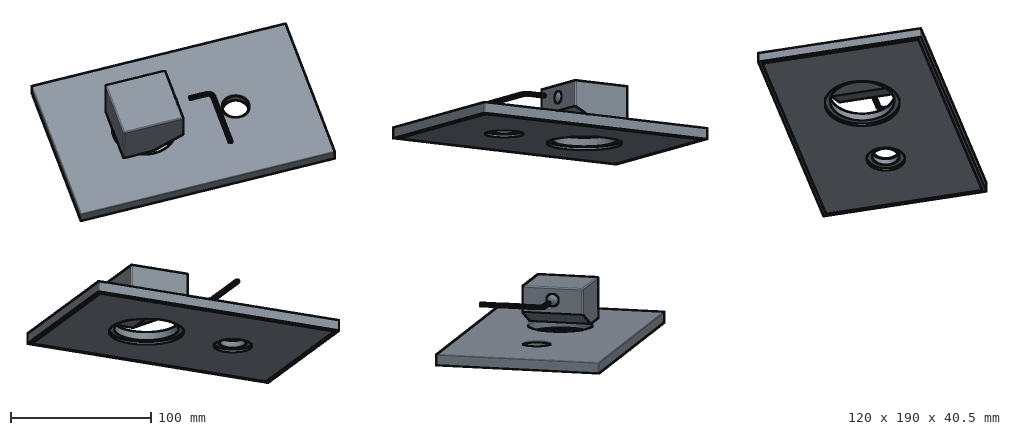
import cadquery as cq
import math

plate_width = 120.0
plate_length = 190.0
total_height = 40.5

seal_thickness = 2.0
seal_protrusion = 0.5
seal_clearance = 3.8
seal_inset = 2.5
plate_thickness = 8.0
plate_edge_radius = 0.5
plate_bottom = seal_protrusion
plate_top = plate_bottom + plate_thickness

knob_y = -29.0
knob_opening_radius = 23.0
small_opening_y = 39.1
small_opening_radius = 9.9
opening_rim_radius = 0.5
openings = ((knob_y, knob_opening_radius), (small_opening_y, small_opening_radius))
sleeve_wall = 0.4
sleeve_drop = 1.1

knob_side = 45.0
knob_height = 30.0
knob_slope_height = 11.0
knob_edge_radius = 1.0
knob_bottom = total_height - knob_height
knob_back_y = knob_y + knob_side / 2

plug_radius = 4.5
plug_height = 1.9
plug_depth = 9.3
plug_z = total_height - plug_depth

key_across_flats = 2.5
key_short_end_y = 4.8
key_long_arm_y = 21.3
key_long_end_x = 46.0
key_bend_radius = 3.8


def cut_openings(body, clearance):
    """Cut the two round openings, widened by a clearance, through a flat body on the XY plane."""
    for opening_y, radius in openings:
        cutter = cq.Workplane("XY").center(0, opening_y).circle(radius + clearance).extrude(total_height)
        body = body.cut(cutter)
    return body


def make_seal_sheet():
    """Rectangular outline of the seal without openings, also the shape of its recess."""
    return (
        cq.Workplane("XY")
        .rect(plate_width - 2 * seal_inset, plate_length - 2 * seal_inset)
        .extrude(seal_thickness)
    )


def make_plate():
    """Slab with rounded edges, recessed below for the seal and pierced by the openings."""
    slab = (
        cq.Workplane("XY")
        .workplane(offset=plate_bottom)
        .rect(plate_width, plate_length)
        .extrude(plate_thickness)
        .edges("|Z or >Z")
        .fillet(plate_edge_radius)
    )
    plate = cut_openings(slab.cut(make_seal_sheet()), 0)
    return plate.faces(">Z").edges("%CIRCLE").fillet(opening_rim_radius)


def make_sleeve():
    """Thin lining of the small opening, from the seal recess to just below the plate top."""
    return (
        cq.Workplane("XY")
        .workplane(offset=seal_thickness)
        .center(0, small_opening_y)
        .circle(small_opening_radius)
        .circle(small_opening_radius - sleeve_wall)
        .extrude(plate_top - sleeve_drop - seal_thickness)
    )


def make_seal():
    return cut_openings(make_seal_sheet(), seal_clearance)


def make_knob():
    block = (
        cq.Workplane("XY")
        .workplane(offset=knob_bottom)
        .center(0, knob_y)
        .rect(knob_side, knob_side)
        .extrude(knob_height)
        .edges("|Z or >Z")
        .fillet(knob_edge_radius)
    )
    slope = (
        cq.Workplane("YZ")
        .moveTo(knob_y, knob_bottom)
        .lineTo(knob_back_y, knob_bottom)
        .lineTo(knob_back_y, knob_bottom + knob_slope_height)
        .close()
        .extrude(knob_side / 2, both=True)
    )
    return block.cut(slope)


def make_plug():
    """Spherical cap, revolved about its axis along Y."""
    sphere_radius = (plug_radius**2 + plug_height**2) / (2 * plug_height)
    apex_y = knob_back_y + plug_height
    half_angle = math.asin(plug_radius / sphere_radius) / 2
    arc_middle = (
        sphere_radius * math.sin(half_angle),
        apex_y - sphere_radius * (1 - math.cos(half_angle)),
    )
    return (
        cq.Workplane("XY", origin=(0, 0, plug_z))
        .moveTo(0, knob_back_y)
        .lineTo(plug_radius, knob_back_y)
        .threePointArc(arc_middle, (0, apex_y))
        .close()
        .revolve(360, (0, 0), (0, 1))
    )


def make_hex_key():
    """Hexagon with flats facing up and down, swept along an L with a rounded corner."""
    bend_centre = (key_bend_radius, key_long_arm_y - key_bend_radius)
    bend_middle = (
        bend_centre[0] - key_bend_radius * math.sqrt(0.5),
        bend_centre[1] + key_bend_radius * math.sqrt(0.5),
    )
    path = (
        cq.Workplane("XY", origin=(0, 0, plug_z))
        .moveTo(0, key_short_end_y)
        .lineTo(0, bend_centre[1])
        .threePointArc(bend_middle, (bend_centre[0], key_long_arm_y))
        .lineTo(key_long_end_x, key_long_arm_y)
    )
    across_corners = key_across_flats / math.cos(math.pi / 6)
    return (
        cq.Workplane("XZ", origin=(0, key_short_end_y, plug_z))
        .polygon(6, across_corners)
        .sweep(path)
    )


plate = make_plate()
seal = make_seal()
knob = make_knob()
plug = make_plug()
hex_key = make_hex_key()
sleeve = make_sleeve()

bodies = (plate, seal, sleeve, knob, plug, hex_key)
result = cq.Compound.makeCompound([body.val() for body in bodies])